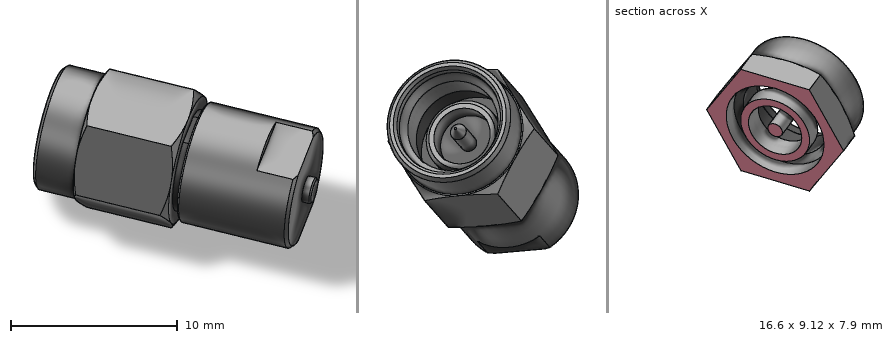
import cadquery as cq
import math

NUT_HEX_START = 2.6
NUT_HEX_END = 8.6
BODY_START = 9.05
FLATS_START = 13.54
BODY_END = 16.0
TOTAL_LENGTH = 16.55

HEX_ACROSS_FLATS = 7.9
HEX_ACROSS_CORNERS = HEX_ACROSS_FLATS / math.cos(math.radians(30))
HEX_CHAMFER_ANGLE = 30.0
COLLAR_RADIUS = 3.85
COLLAR_CHAMFER = 0.22

ENTRY_RADIUS = 3.23
ENTRY_CHAMFER = 0.18
ENTRY_DEPTH = 0.7
LAND_RADIUS = 2.81
LAND_END = 3.03
CAVITY_DEPTH = 5.63

RING_RADIUS = 2.3
RING_CHAMFER = 0.23
RING_FACE = 3.15
DIELECTRIC_RADIUS = 1.75
DIELECTRIC_RECESS = 1.49
PIN_RADIUS = 0.5
PIN_TIP_RADIUS = 0.07
PIN_TIP = 1.65
PIN_CONE_LENGTH = 0.66

NECK_RADIUS = 3.15
NECK_ACROSS_FLATS = 5.94

BODY_RADIUS = 3.72
BODY_FRONT_CHAMFER = 0.12
BODY_REAR_CHAMFER = 0.2
BODY_ACROSS_FLATS = 6.35

REAR_PIN_RADIUS = 0.81
REAR_PIN_CHAMFER = 0.1


def cylinder(start, end, radius):
    """Cylinder around the X axis between two stations."""
    return cq.Workplane("YZ", origin=(start, 0, 0)).circle(radius).extrude(end - start)


def revolve_profile(points):
    """Closed (x, radius) outline turned around the X axis."""
    return cq.Workplane("XY").polyline(points).close().revolve(360, (0, 0, 0), (1, 0, 0))


def flatten(shape, start, end, across_flats):
    """Keep only the part of a shape lying between two flats facing +Z and -Z."""
    slab = cq.Workplane("XY").box(
        end - start, HEX_ACROSS_CORNERS, across_flats, centered=(False, True, True)
    )
    return shape.intersect(slab.translate((start, 0, 0)))


def nut_hexagon():
    """Hexagon with its corners along Y, chamfered at both ends."""
    prism = (
        cq.Workplane("YZ", origin=(NUT_HEX_START, 0, 0))
        .polygon(6, HEX_ACROSS_CORNERS)
        .extrude(NUT_HEX_END - NUT_HEX_START)
    )
    flat_radius = HEX_ACROSS_FLATS / 2
    corner_radius = HEX_ACROSS_CORNERS / 2
    drop = (corner_radius - flat_radius) * math.tan(math.radians(HEX_CHAMFER_ANGLE))
    envelope = revolve_profile([
        (NUT_HEX_START, 0),
        (NUT_HEX_START, flat_radius),
        (NUT_HEX_START + drop, corner_radius),
        (NUT_HEX_END - drop, corner_radius),
        (NUT_HEX_END, flat_radius),
        (NUT_HEX_END, 0),
    ])
    return prism.intersect(envelope)


def nut_bore():
    """Stepped cavity opening at the nut's free end, narrowed by an inner land with 45 degree sides."""
    land_height = ENTRY_RADIUS - LAND_RADIUS
    return revolve_profile([
        (0, 0),
        (0, ENTRY_RADIUS + ENTRY_CHAMFER),
        (ENTRY_CHAMFER, ENTRY_RADIUS),
        (ENTRY_DEPTH, ENTRY_RADIUS),
        (ENTRY_DEPTH + land_height, LAND_RADIUS),
        (LAND_END, LAND_RADIUS),
        (LAND_END + land_height, ENTRY_RADIUS),
        (CAVITY_DEPTH, ENTRY_RADIUS),
        (CAVITY_DEPTH, 0),
    ])


def coupling_nut():
    collar = cylinder(0, NUT_HEX_START, COLLAR_RADIUS).faces("<X").chamfer(COLLAR_CHAMFER)
    return collar.union(nut_hexagon()).cut(nut_bore())


def front_contact():
    """Chamfered ring with a recessed dielectric and a pointed centre pin."""
    ring = cylinder(RING_FACE, BODY_START, RING_RADIUS).faces("<X").chamfer(RING_CHAMFER)
    dielectric_face = RING_FACE + DIELECTRIC_RECESS
    recess = cylinder(RING_FACE, dielectric_face, DIELECTRIC_RADIUS)
    pin = revolve_profile([
        (PIN_TIP, 0),
        (PIN_TIP, PIN_TIP_RADIUS),
        (PIN_TIP + PIN_CONE_LENGTH, PIN_RADIUS),
        (BODY_START, PIN_RADIUS),
        (BODY_START, 0),
    ])
    return ring.cut(recess).union(pin)


def neck():
    return flatten(
        cylinder(NUT_HEX_END, BODY_START, NECK_RADIUS), NUT_HEX_END, BODY_START, NECK_ACROSS_FLATS
    )


def rear_body():
    """Round body with two wrench flats at its rear end."""
    body = (
        cylinder(BODY_START, BODY_END, BODY_RADIUS)
        .faces("<X").chamfer(BODY_FRONT_CHAMFER)
        .faces(">X").chamfer(BODY_REAR_CHAMFER)
    )
    round_part = body.intersect(cylinder(BODY_START, FLATS_START, BODY_RADIUS))
    return round_part.union(flatten(body, FLATS_START, BODY_END, BODY_ACROSS_FLATS))


def rear_pin():
    return cylinder(BODY_END, TOTAL_LENGTH, REAR_PIN_RADIUS).faces(">X").chamfer(REAR_PIN_CHAMFER)


result = (
    coupling_nut()
    .union(front_contact())
    .union(neck())
    .union(rear_body())
    .union(rear_pin())
)